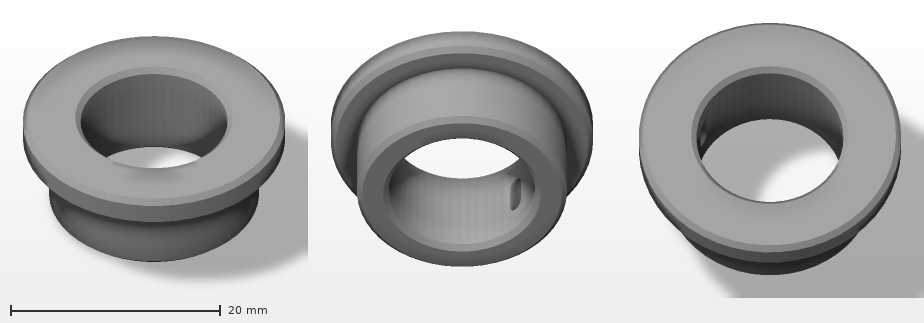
import cadquery as cq

flange_diameter = 25
body_diameter = 20
bore_diameter = 14
height = 10
flange_thickness = 3
edge_chamfer = 0.5

groove_width = 1.5
groove_straight_length = 2.5
groove_depth = 1


def make_sleeve():
    """Flanged sleeve with every outer rim chamfered."""
    body = cq.Workplane("XY").circle(body_diameter / 2).extrude(height)
    body = body.faces("<Z").edges().chamfer(edge_chamfer)
    flange = (
        cq.Workplane("XY")
        .workplane(offset=height - flange_thickness)
        .circle(flange_diameter / 2)
        .extrude(flange_thickness)
        .edges()
        .chamfer(edge_chamfer)
    )
    return body.union(flange)


def make_bore():
    """Through bore widened by a chamfer at both ends."""
    bore_radius = bore_diameter / 2
    mouth_radius = bore_radius + edge_chamfer
    profile = [
        (0, 0),
        (mouth_radius, 0),
        (bore_radius, edge_chamfer),
        (bore_radius, height - edge_chamfer),
        (mouth_radius, height),
        (0, height),
    ]
    return cq.Workplane("XZ").polyline(profile).close().revolve(360, (0, 0), (0, 1))


def make_groove():
    """Vertical U-section groove with spherical ends, centred in height."""
    groove_radius = groove_width / 2
    axis_x = bore_diameter / 2 + groove_depth - groove_radius
    bottom_z = (height - groove_straight_length) / 2
    mouth = (
        cq.Workplane("YZ")
        .center(0, height / 2)
        .slot2D(groove_straight_length + groove_width, groove_width, 90)
        .extrude(axis_x)
    )
    floor = (
        cq.Workplane("XY", origin=(axis_x, 0, bottom_z))
        .circle(groove_radius)
        .extrude(groove_straight_length)
    )
    groove = mouth.union(floor)
    for end_z in (bottom_z, bottom_z + groove_straight_length):
        ball = cq.Workplane("XY", origin=(axis_x, 0, end_z)).sphere(groove_radius)
        groove = groove.union(ball)
    return groove


result = make_sleeve().cut(make_bore()).cut(make_groove())